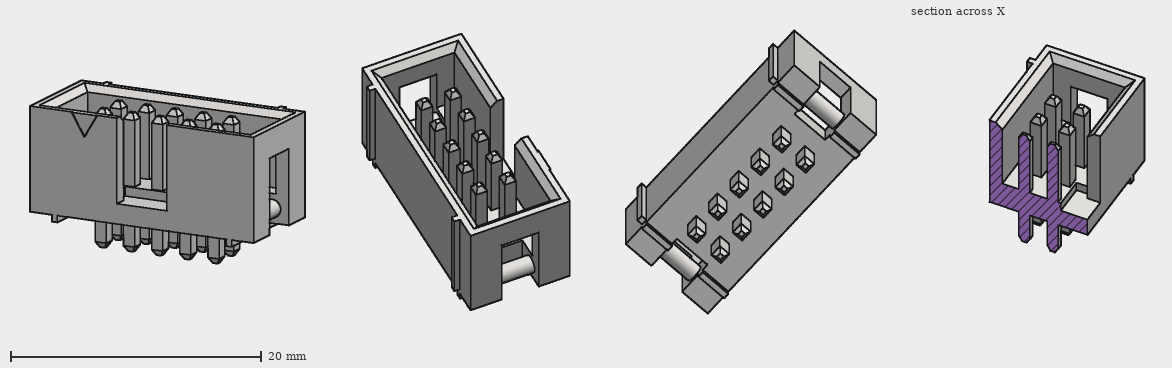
import cadquery as cq


length = 20.2
depth = 8.79
height = 8.77
wall = 1.17
floor_top = 2.46
rim_bevel_width = 0.6
rim_bevel_height = 0.55
front_y = -depth / 2
back_y = depth / 2

key_width = 4.5
key_floor = 1.68
key_recess_width = 5.5
key_recess_reach = 2.38

latch_width = 3.27
latch_reach = 3.05
latch_top = 6.36
bar_diameter = 1.5
bar_inset = 1.5
bar_z = 1.23

rail_spacing = 15.75
rail_width = 0.5
foot_height = 0.57
rib_depth = 0.5
rib_bottom = 0.57

mark_x = -5.15
mark_width = 2.28
mark_height = 1.9
mark_thickness = 0.1

columns = 5
rows = 2
pitch = 2.55
pin_width = 1.0
pin_tip_width = 0.4
pin_tip_height = 0.5
pin_top = height - 0.3
pin_bottom = -3.03


def block(x_range, y_range, z_range):
    """Axis-aligned box between the given (low, high) limits."""
    limits = (x_range, y_range, z_range)
    sizes = [high - low for low, high in limits]
    corner = tuple(low for low, high in limits)
    return cq.Workplane("XY").box(*sizes, centered=False).translate(corner)


def span(center, width):
    """Low and high limits of a width about a center."""
    return center - width / 2, center + width / 2


def make_housing():
    """Open-topped box whose cavity widens in a bevel at the rim."""
    cavity_length = length - 2 * wall
    cavity_depth = depth - 2 * wall
    shell = block(span(0, length), span(0, depth), (0, height))
    cavity = block(span(0, cavity_length), span(0, cavity_depth), (floor_top, height))
    bevel = (
        cq.Workplane("XY", origin=(0, 0, height - rim_bevel_height))
        .rect(cavity_length, cavity_depth)
        .workplane(offset=rim_bevel_height)
        .rect(cavity_length + 2 * rim_bevel_width, cavity_depth + 2 * rim_bevel_width)
        .loft(ruled=True)
    )
    return shell.cut(cavity).cut(bevel)


def make_key_cut():
    """Front wall slot, wider where it enters the cavity floor."""
    inner_front_y = front_y + wall
    slot = block(span(0, key_width), (front_y, inner_front_y), (key_floor, height))
    recess = block(
        span(0, key_recess_width),
        (inner_front_y, front_y + key_recess_reach),
        (key_floor, floor_top),
    )
    return slot.union(recess)


def make_rail(x):
    """Full-depth foot under the housing, with a rib up the back wall above it."""
    foot = block(span(x, rail_width), span(0, depth), (-foot_height, 0))
    rib = block(span(x, rail_width), (back_y, back_y + rib_depth), (rib_bottom, height))
    return foot.union(rib)


def make_latch_cut(side):
    """Opening through an end wall, the floor edge and the middle of the foot."""
    center_x = side * (length - latch_reach) / 2
    return block(span(center_x, latch_reach), span(0, latch_width), (-foot_height, latch_top))


def make_latch_bar(side):
    """Round bar bridging a latch opening along Y."""
    bar_x = side * (length / 2 - bar_inset)
    return (
        cq.Workplane("XZ", origin=(bar_x, 0, bar_z))
        .circle(bar_diameter / 2)
        .extrude(latch_width / 2, both=True)
    )


def make_pin_mark():
    """Thin raised triangle on the front face, pointing down from the rim."""
    left, right = span(mark_x, mark_width)
    return (
        cq.Workplane("XZ", origin=(0, front_y, 0))
        .polyline([(left, height), (right, height), (mark_x, height - mark_height)])
        .close()
        .extrude(mark_thickness)
    )


def make_pin_tip(x, y, base_z, direction):
    """Tapered pin end; direction is +1 for upward and -1 for downward."""
    return (
        cq.Workplane("XY", origin=(x, y, base_z))
        .rect(pin_width, pin_width)
        .workplane(offset=direction * pin_tip_height)
        .rect(pin_tip_width, pin_tip_width)
        .loft(ruled=True)
    )


def make_pin(x, y):
    """Square pin with both ends tapered."""
    shank_bottom = pin_bottom + pin_tip_height
    shank_top = pin_top - pin_tip_height
    shank = block(span(x, pin_width), span(y, pin_width), (shank_bottom, shank_top))
    upper_tip = make_pin_tip(x, y, shank_top, 1)
    lower_tip = make_pin_tip(x, y, shank_bottom, -1)
    return shank.union(upper_tip).union(lower_tip)


result = make_housing().cut(make_key_cut()).union(make_pin_mark())

for side in (-1, 1):
    result = result.union(make_rail(side * rail_spacing / 2))
    result = result.cut(make_latch_cut(side))
    result = result.union(make_latch_bar(side))

for column in range(columns):
    for row in range(rows):
        pin_x = (column - (columns - 1) / 2) * pitch
        pin_y = (row - (rows - 1) / 2) * pitch
        result = result.union(make_pin(pin_x, pin_y))